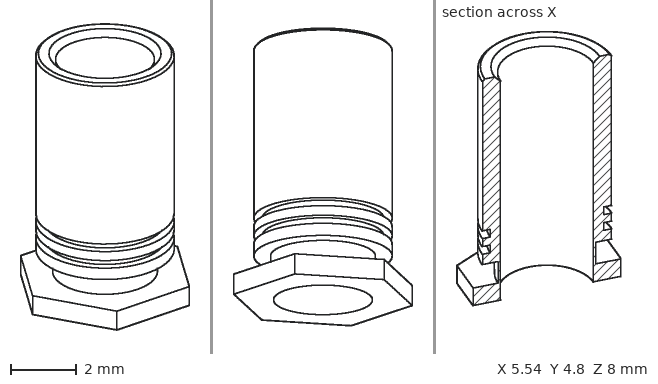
import cadquery as cq

hex_across_corners = 5.54
head_thickness = 0.64

neck_diameter = 3.18
body_diameter = 4.2
groove_diameter = 3.69
bore_diameter = 3.0

total_height = 8.0
neck_length = 0.75
flange_thickness = 0.38
groove_width = 0.26
ring_thickness = 0.3

outer_chamfer = 0.08
bore_chamfer = 0.2

flange_bottom = head_thickness + neck_length
flange_top = flange_bottom + flange_thickness
ring_bottom = flange_top + groove_width
ring_top = ring_bottom + ring_thickness
body_bottom = ring_top + groove_width


def cylinder(diameter, bottom, top):
    """Solid cylinder on the Z axis between two heights."""
    return cq.Workplane("XY").workplane(offset=bottom).circle(diameter / 2).extrude(top - bottom)


head = cq.Workplane("XY").polygon(6, hex_across_corners).extrude(head_thickness)

neck = cylinder(neck_diameter, head_thickness, flange_bottom)
flange = cylinder(body_diameter, flange_bottom, flange_top)
lower_groove = cylinder(groove_diameter, flange_top, ring_bottom)
ring = cylinder(body_diameter, ring_bottom, ring_top)
upper_groove = cylinder(groove_diameter, ring_top, body_bottom)
sleeve = cylinder(body_diameter, body_bottom, total_height).faces(">Z").edges().chamfer(outer_chamfer)

result = head
for section in (neck, flange, lower_groove, ring, upper_groove, sleeve):
    result = result.union(section)

result = result.cut(cylinder(bore_diameter, 0, total_height))
result = result.faces(">Z").edges("%CIRCLE").edges(cq.selectors.RadiusNthSelector(0)).chamfer(bore_chamfer)